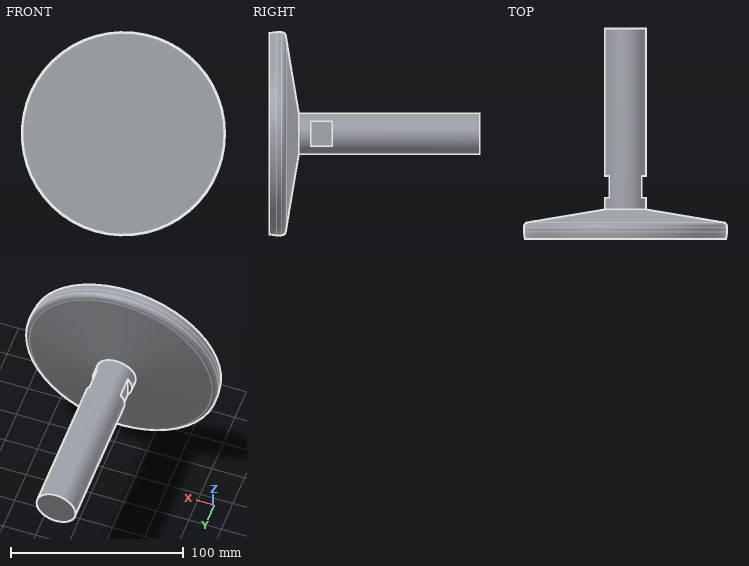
import cadquery as cq
import math

plate_radius = 59.0
sole_edge_radius = 58.45
sole_height = 4.1
rim_height = 6.9
shoulder_radius = 2.9
cone_top_height = 17.2

stem_radius = 12.0
overall_length = 122.0
flats_across = 19.0
flats_start = 24.0
flats_length = 12.5


def make_foot():
    """Plate and stem, revolved as one half profile of (radius, height)."""
    arc_center_radius = plate_radius - shoulder_radius
    shoulder_top = rim_height + shoulder_radius
    diagonal = shoulder_radius * math.sqrt(0.5)
    arc_midpoint = (arc_center_radius + diagonal, rim_height + diagonal)
    return (
        cq.Workplane("XY")
        .lineTo(sole_edge_radius, 0)
        .lineTo(plate_radius, sole_height)
        .lineTo(plate_radius, rim_height)
        .threePointArc(arc_midpoint, (arc_center_radius, shoulder_top))
        .lineTo(stem_radius, cone_top_height)
        .lineTo(stem_radius, overall_length)
        .lineTo(0, overall_length)
        .close()
        .revolve(360, (0, 0, 0), (0, 1, 0))
    )


def cut_wrench_flats(body):
    """Remove the stem material outside the two flats, on the +X and -X sides."""
    flat_offset = flats_across / 2
    stem_diameter = 2 * stem_radius
    for side in (-1, 1):
        cutter = cq.Workplane("XY").box(stem_radius, flats_length, stem_diameter).translate(
            (side * (flat_offset + stem_radius / 2), flats_start + flats_length / 2, 0)
        )
        body = body.cut(cutter)
    return body


result = cut_wrench_flats(make_foot())